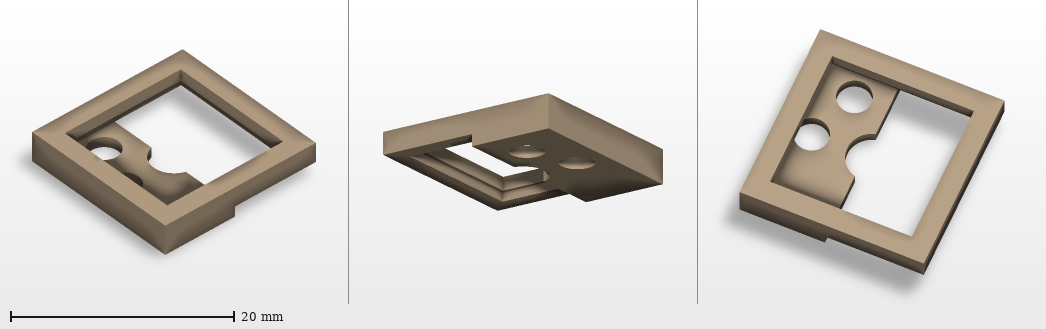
import cadquery as cq

outer_side = 18.0
plate_thickness = 1.15
frame_height = 2.2

opening_side = 13.86
lip_height = 1.31
undercut = 0.35
recess_side = opening_side + 2 * undercut
recess_height = frame_height - lip_height

plate_depth = 8.35
plate_center_y = (plate_depth - outer_side) / 2
center_hole_diameter = 4.82
pin_hole_diameter = 3.3
pin_hole_centers = [(-5.0, -3.9), (0, -5.9)]


def square_block(side, height, bottom):
    """Square prism centred on the Z axis, standing on the given Z level."""
    return cq.Workplane("XY", origin=(0, 0, bottom)).rect(side, side).extrude(height)


def make_frame():
    bottom = plate_thickness
    blank = square_block(outer_side, frame_height, bottom)
    opening = square_block(opening_side, frame_height, bottom)
    recess = square_block(recess_side, recess_height, bottom)
    return blank.cut(opening).cut(recess)


def make_plate():
    blank = cq.Workplane("XY").center(0, plate_center_y).rect(outer_side, plate_depth).extrude(plate_thickness)
    center_hole = cq.Workplane("XY").circle(center_hole_diameter / 2).extrude(plate_thickness)
    pin_holes = (
        cq.Workplane("XY")
        .pushPoints(pin_hole_centers)
        .circle(pin_hole_diameter / 2)
        .extrude(plate_thickness)
    )
    return blank.cut(center_hole).cut(pin_holes)


frame = make_frame()
plate = make_plate()

result = cq.Compound.makeCompound([frame.val(), plate.val()])